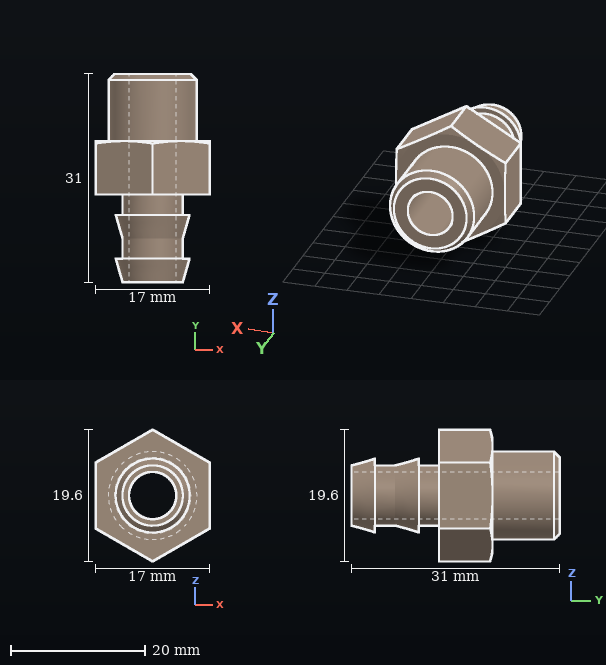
import cadquery as cq
import math

total_length = 31.0
hex_across_flats = 17.0
hex_length = 7.97
hex_chamfer_angle = 15.0
spigot_diameter = 13.15
spigot_chamfer = 0.9
neck_diameter = 9.0
neck_length = 3.0
barb_diameter = 11.0
barb_length = 3.5
barb_count = 2
bore_diameter = 7.0

tail_length = barb_count * (neck_length + barb_length)
hex_end = tail_length + hex_length
hex_across_corners = hex_across_flats / math.cos(math.radians(30))


def make_tail():
    """Revolve the barbs, each tapering towards the tip and followed by a neck."""
    neck_radius = neck_diameter / 2
    barb_radius = barb_diameter / 2
    profile = cq.Workplane("XY").lineTo(neck_radius, 0)
    for index in range(barb_count):
        barb_end = index * (barb_length + neck_length) + barb_length
        profile = profile.lineTo(barb_radius, barb_end)
        profile = profile.lineTo(neck_radius, barb_end)
        profile = profile.lineTo(neck_radius, barb_end + neck_length)
    profile = profile.lineTo(0, tail_length).close()
    return profile.revolve(360, (0, 0), (0, 1))


def make_hexagon():
    """Hexagon with corners on +Z and -Z, its spigot-side corners cut by a cone."""
    prism = (
        cq.Workplane("XZ", origin=(0, tail_length, 0))
        .transformed(rotate=(0, 0, 90))
        .polygon(6, hex_across_corners)
        .extrude(-hex_length)
    )
    face_radius = hex_across_flats / 2
    outer_radius = hex_across_corners / 2
    drop = (outer_radius - face_radius) * math.tan(math.radians(hex_chamfer_angle))
    envelope = (
        cq.Workplane("XY")
        .moveTo(0, tail_length)
        .lineTo(outer_radius, tail_length)
        .lineTo(outer_radius, hex_end - drop)
        .lineTo(face_radius, hex_end)
        .lineTo(0, hex_end)
        .close()
        .revolve(360, (0, 0), (0, 1))
    )
    return prism.intersect(envelope)


def make_spigot():
    """Round spigot with a chamfered free end."""
    return (
        cq.Workplane("XZ", origin=(0, hex_end, 0))
        .circle(spigot_diameter / 2)
        .extrude(hex_end - total_length)
        .faces(">Y")
        .chamfer(spigot_chamfer)
    )


bore = cq.Workplane("XZ").circle(bore_diameter / 2).extrude(-total_length)

result = make_tail().union(make_hexagon()).union(make_spigot()).cut(bore)